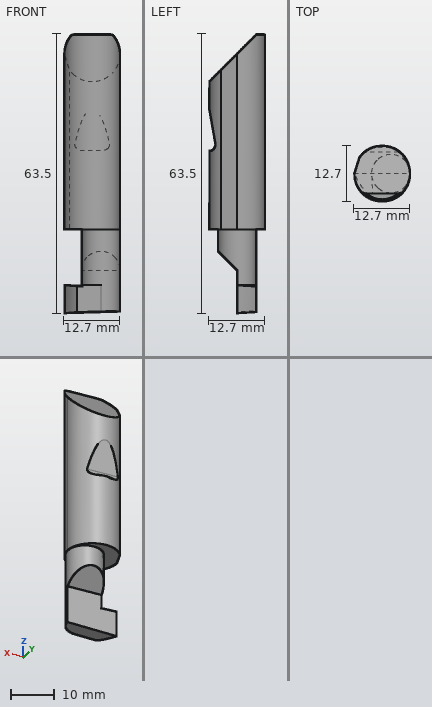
import cadquery as cq
import math

SHANK_RADIUS = 6.35
TOTAL_LENGTH = 63.5
SHANK_BOTTOM = 19.05
CHAMFER_RADIAL = 0.5
CHAMFER_HEIGHT = 0.25
FLAT_START_ANGLE = 180.0
FLAT_END_ANGLE = 145.0

BEVEL_EDGE_Y = -4.5

NOTCH_TOP_Z = 46.35
NOTCH_FLOOR_Z = 38.4
NOTCH_BOTTOM_Z = 36.95
NOTCH_FLOOR_Y = 4.95
NOTCH_ARC_END_Y = 5.9
NOTCH_ARC_BULGE = 0.25

NECK_RADIUS = 4.4
NECK_X = SHANK_RADIUS - NECK_RADIUS
NECK_BEVEL_END_Z = 9.7

HEAD_TOP = 6.4
TIP_X = -6.3
HEAD_CORNER_X = -3.5
HEAD_ARC_BULGE = 0.25
STEP_BACK_X = NECK_X - NECK_RADIUS
STEP_FRONT_X = -2.15
SIDE_RELIEF_ANGLE = 1.7
FRONT_RELIEF_ANGLE = 2.5

CUTTER_SIZE = 4 * SHANK_RADIUS


def side_prism(points):
    """Extrude a closed (Y, Z) outline across the full width in X."""
    return cq.Workplane("YZ").polyline(points).close().extrude(CUTTER_SIZE / 2, both=True)


def relief_block(tip_z, direction):
    """Block above (+1) or below (-1) a plane through the cutting tip, relieved away from it."""
    block = cq.Workplane("XY").box(CUTTER_SIZE, CUTTER_SIZE, CUTTER_SIZE)
    block = block.translate((0, 0, direction * CUTTER_SIZE / 2))
    block = block.rotate((0, 0, 0), (0, 1, 0), direction * SIDE_RELIEF_ANGLE)
    block = block.rotate((0, 0, 0), (1, 0, 0), direction * FRONT_RELIEF_ANGLE)
    return block.translate((TIP_X, 0, tip_z))


def rim_point(angle):
    """Point on the shank circle at an angle in degrees from +X."""
    turn = math.radians(angle)
    return (SHANK_RADIUS * math.cos(turn), SHANK_RADIUS * math.sin(turn))


def arc_middle(start, end, bulge):
    """Point offset by the bulge to the right of the middle of the start-end chord."""
    dx = end[0] - start[0]
    dy = end[1] - start[1]
    chord = math.hypot(dx, dy)
    return ((start[0] + end[0]) / 2 + bulge * dy / chord, (start[1] + end[1]) / 2 - bulge * dx / chord)


def make_notch():
    floor = (NOTCH_FLOOR_Y, NOTCH_FLOOR_Z)
    arc_end = (NOTCH_ARC_END_Y, NOTCH_BOTTOM_Z)
    outline = (
        cq.Workplane("YZ")
        .moveTo(SHANK_RADIUS, NOTCH_TOP_Z)
        .lineTo(*floor)
        .threePointArc(arc_middle(floor, arc_end, NOTCH_ARC_BULGE), arc_end)
        .lineTo(CUTTER_SIZE, NOTCH_BOTTOM_Z)
        .lineTo(CUTTER_SIZE, NOTCH_TOP_Z)
        .close()
    )
    return outline.extrude(CUTTER_SIZE / 2, both=True)


def make_shank():
    flat_start = rim_point(FLAT_START_ANGLE)
    flat_end = rim_point(FLAT_END_ANGLE)
    shank = (
        cq.Workplane("XY", origin=(0, 0, SHANK_BOTTOM))
        .moveTo(*flat_start)
        .threePointArc((0, -SHANK_RADIUS), (SHANK_RADIUS, 0))
        .threePointArc((0, SHANK_RADIUS), flat_end)
        .close()
        .extrude(TOTAL_LENGTH - SHANK_BOTTOM)
    )
    rim = (
        cq.Workplane("XZ")
        .moveTo(SHANK_RADIUS, TOTAL_LENGTH - CHAMFER_HEIGHT)
        .lineTo(SHANK_RADIUS, TOTAL_LENGTH)
        .lineTo(SHANK_RADIUS - CHAMFER_RADIAL, TOTAL_LENGTH)
        .close()
        .revolve(360, (0, 0, 0), (0, 1, 0))
    )
    bevel = side_prism([
        (BEVEL_EDGE_Y, TOTAL_LENGTH),
        (BEVEL_EDGE_Y + CUTTER_SIZE, TOTAL_LENGTH - CUTTER_SIZE),
        (BEVEL_EDGE_Y + CUTTER_SIZE, TOTAL_LENGTH),
    ])
    return shank.cut(rim).cut(bevel).cut(make_notch())


def make_neck():
    neck = cq.Workplane("XY").center(NECK_X, 0).circle(NECK_RADIUS).extrude(SHANK_BOTTOM)
    clearance = side_prism([
        (0, -CUTTER_SIZE),
        (0, NECK_BEVEL_END_Z),
        (CUTTER_SIZE, NECK_BEVEL_END_Z + CUTTER_SIZE),
        (CUTTER_SIZE, -CUTTER_SIZE),
    ])
    return neck.cut(clearance)


def make_head():
    tip = (TIP_X, 0)
    corner = (HEAD_CORNER_X, -NECK_RADIUS)
    step_front = (STEP_FRONT_X, -NECK_RADIUS)
    step_back = (STEP_BACK_X, 0)
    cutting_end = (
        cq.Workplane("XY")
        .moveTo(*tip)
        .threePointArc(arc_middle(tip, corner, HEAD_ARC_BULGE), corner)
        .lineTo(*step_front)
        .lineTo(*step_back)
        .close()
        .extrude(HEAD_TOP)
    )
    bridge = (
        cq.Workplane("XY")
        .polyline([step_back, step_front, (NECK_X, -NECK_RADIUS), (NECK_X, 0)])
        .close()
        .extrude(HEAD_TOP)
    )
    return cutting_end.cut(relief_block(HEAD_TOP, 1)).union(bridge)


cutter = make_neck().union(make_head()).cut(relief_block(0, -1))
result = make_shank().union(cutter)